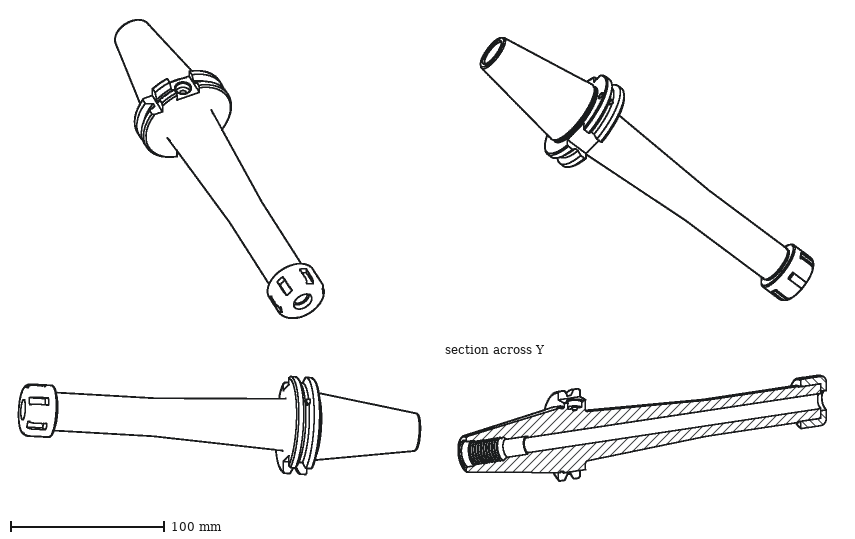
import cadquery as cq
import math


gauge_radius = 44.45 / 2
taper_length = 68.4
taper_slope = 7 / 24 / 2
taper_end_radius = gauge_radius - taper_length * taper_slope
taper_end_x = -taper_length
taper_end_chamfer_length = 1.0
taper_end_chamfer_height = 0.6

neck_start_x = 0.4
neck_radius = 21.6
neck_wall_length = 0.8

flange_start_x = 3.2
flange_width = 15.9
flange_end_x = flange_start_x + flange_width
flange_radius = 63.33 / 2
flange_taper_side_chamfer = 0.8
flange_shank_side_chamfer = 1.2
groove_x = 11.1
groove_floor_radius = 28.0
groove_floor_width = 2.4
groove_rim_chamfer = 0.5
groove_side_slope = math.tan(math.radians(30))
rim_chamfer_radius = flange_radius - groove_rim_chamfer
groove_mouth_width = groove_floor_width + 2 * (rim_chamfer_radius - groove_floor_radius) * groove_side_slope

drive_slot_width = 16.1
upper_slot_floor = 25.0
lower_slot_floor = 22.8
notch_y = 18.5
notch_z = 18.5

chip_pocket_diameter = 9.6
chip_pocket_depth = 4.5
chip_pocket_chamfer = 0.6
chip_hole_diameter = 4.0
chip_hole_depth = 1.5
chip_hole_tip_radius = 1.0

port_circle_radius = 27.0
port_angle = 20.0
port_diameter = 4.5
radial_port_diameter = 3.0

shank_fillet = 1.5
shank_cone_radius = 17.0
shank_cone_start_x = flange_end_x + shank_fillet
shank_radius = 12.5
shank_cone_end_x = 107.3
overall_end_x = 263.64 - taper_length

nut_length = 19.0
nut_radius = 17.0
nut_start_x = overall_end_x - nut_length
nut_rear_chamfer = 0.8
nut_front_fillet = 4.3
nut_opening_radius = 6.5
nut_cap_thickness = 4.0

spanner_slot_count = 6
spanner_slot_width = 5.0
spanner_slot_floor = 15.0
spanner_slot_length = 13.2
spanner_slot_ramp = 1.9
spanner_slot_tilt = -8.0

nose_radius = 12.0
nose_start_x = nut_start_x - 1.3
nose_end_x = overall_end_x - nut_cap_thickness

mouth_radius = 9.4
mouth_chamfer = 0.9
counterbore_radius = mouth_radius - mouth_chamfer
counterbore_depth = 6.0
thread_root_radius = 8.0
thread_crest_radius = 7.2
thread_pitch = 2.0
thread_turns = 11
thread_end_depth = counterbore_depth + thread_pitch * thread_turns
drill_tip_length = 2.0
step_radius = 6.0
step_depth = 45.0
bore_radius = 5.0

arc_middle_inset = 1 - math.sqrt(0.5)


def revolve_profile(profile):
    """Turn a closed (x, radius) profile about the X axis."""
    return profile.close().revolve(360, (0, 0, 0), (1, 0, 0))


def make_holder_blank():
    half_floor = groove_floor_width / 2
    half_mouth = groove_mouth_width / 2
    fillet_bend = shank_fillet * arc_middle_inset
    return revolve_profile(
        cq.Workplane("XZ")
        .moveTo(taper_end_x, 0)
        .lineTo(taper_end_x, taper_end_radius - taper_end_chamfer_height)
        .lineTo(
            taper_end_x + taper_end_chamfer_length,
            taper_end_radius + taper_end_chamfer_length * taper_slope,
        )
        .lineTo(0, gauge_radius)
        .lineTo(neck_start_x, gauge_radius)
        .lineTo(neck_start_x + neck_wall_length, neck_radius)
        .lineTo(flange_start_x - neck_wall_length, neck_radius)
        .lineTo(flange_start_x, gauge_radius)
        .lineTo(flange_start_x, flange_radius - flange_taper_side_chamfer)
        .lineTo(flange_start_x + flange_taper_side_chamfer, flange_radius)
        .lineTo(groove_x - half_mouth - groove_rim_chamfer, flange_radius)
        .lineTo(groove_x - half_mouth, rim_chamfer_radius)
        .lineTo(groove_x - half_floor, groove_floor_radius)
        .lineTo(groove_x + half_floor, groove_floor_radius)
        .lineTo(groove_x + half_mouth, rim_chamfer_radius)
        .lineTo(groove_x + half_mouth + groove_rim_chamfer, flange_radius)
        .lineTo(flange_end_x - flange_shank_side_chamfer, flange_radius)
        .lineTo(flange_end_x, flange_radius - flange_shank_side_chamfer)
        .lineTo(flange_end_x, shank_cone_radius + shank_fillet)
        .threePointArc(
            (flange_end_x + fillet_bend, shank_cone_radius + fillet_bend),
            (shank_cone_start_x, shank_cone_radius),
        )
        .lineTo(shank_cone_end_x, shank_radius)
        .lineTo(nose_start_x, shank_radius)
        .lineTo(nose_start_x, nose_radius)
        .lineTo(nose_end_x, nose_radius)
        .lineTo(nose_end_x, 0)
    )


def make_bore():
    profile = (
        cq.Workplane("XZ")
        .moveTo(taper_end_x, 0)
        .lineTo(taper_end_x, mouth_radius)
        .lineTo(taper_end_x + mouth_chamfer, counterbore_radius)
        .lineTo(taper_end_x + counterbore_depth, counterbore_radius)
        .lineTo(taper_end_x + counterbore_depth, thread_crest_radius)
    )
    for turn in range(thread_turns):
        turn_x = taper_end_x + counterbore_depth + turn * thread_pitch
        profile = profile.lineTo(turn_x + thread_pitch / 2, thread_root_radius)
        profile = profile.lineTo(turn_x + thread_pitch, thread_crest_radius)
    return revolve_profile(
        profile.lineTo(taper_end_x + thread_end_depth + drill_tip_length, step_radius)
        .lineTo(taper_end_x + step_depth, step_radius)
        .lineTo(taper_end_x + step_depth, bore_radius)
        .lineTo(nose_end_x, bore_radius)
        .lineTo(nose_end_x, 0)
    )


def make_flange_cutter(y_size, y_min, z_min):
    """Block across the whole flange width, reaching from its lower corner past the rim."""
    return cq.Workplane("XY").box(flange_width, y_size, flange_radius, centered=False).translate(
        (flange_start_x, y_min, z_min)
    )


def make_drive_slots():
    upper = make_flange_cutter(drive_slot_width, -drive_slot_width / 2, upper_slot_floor)
    lower = make_flange_cutter(drive_slot_width, -drive_slot_width / 2, lower_slot_floor)
    return upper.union(lower.rotate((0, 0, 0), (1, 0, 0), 180))


def make_notch():
    return make_flange_cutter(flange_radius, -notch_y - flange_radius, notch_z)


def make_chip_pocket():
    """Round pocket with a chamfered mouth and a tapered hole in its floor."""
    pocket_radius = chip_pocket_diameter / 2
    pocket_floor = upper_slot_floor - chip_pocket_depth
    return (
        cq.Workplane("XZ")
        .moveTo(0, upper_slot_floor)
        .lineTo(pocket_radius + chip_pocket_chamfer, upper_slot_floor)
        .lineTo(pocket_radius, upper_slot_floor - chip_pocket_chamfer)
        .lineTo(pocket_radius, pocket_floor)
        .lineTo(chip_hole_diameter / 2, pocket_floor)
        .lineTo(chip_hole_tip_radius, pocket_floor - chip_hole_depth)
        .lineTo(0, pocket_floor - chip_hole_depth)
        .close()
        .revolve(360, (0, 0, 0), (0, 1, 0))
        .translate((groove_x, 0, 0))
    )


def make_coolant_port():
    """Port on the +Y side, its axial hole open to the taper side of the flange."""
    axial = (
        cq.Workplane("YZ", origin=(flange_start_x, port_circle_radius, 0))
        .circle(port_diameter / 2)
        .extrude(groove_x - flange_start_x)
    )
    radial = (
        cq.Workplane("XZ", origin=(groove_x, port_circle_radius - port_diameter / 2, 0))
        .circle(radial_port_diameter / 2)
        .extrude(port_circle_radius - port_diameter / 2 - flange_radius)
    )
    return axial.union(radial).rotate((0, 0, 0), (1, 0, 0), port_angle)


def make_holder():
    holder = make_holder_blank().cut(make_bore())
    holder = holder.cut(make_drive_slots()).cut(make_notch()).cut(make_chip_pocket())
    for turn in (0, 180):
        holder = holder.cut(make_coolant_port().rotate((0, 0, 0), (1, 0, 0), turn))
    return holder


def make_nut_blank():
    fillet_bend = nut_front_fillet * arc_middle_inset
    return revolve_profile(
        cq.Workplane("XZ")
        .moveTo(nut_start_x, nose_radius)
        .lineTo(nut_start_x, nut_radius - nut_rear_chamfer)
        .lineTo(nut_start_x + nut_rear_chamfer, nut_radius)
        .lineTo(overall_end_x - nut_front_fillet, nut_radius)
        .threePointArc(
            (overall_end_x - fillet_bend, nut_radius - fillet_bend),
            (overall_end_x, nut_radius - nut_front_fillet),
        )
        .lineTo(overall_end_x, nut_opening_radius)
        .lineTo(nose_end_x, nut_opening_radius)
        .lineTo(nose_end_x, nose_radius)
    )


def make_spanner_slot():
    """Slot on the -Y side of the nut: a flat floor with a ramp up to the rim at its rear end."""
    slot_start_x = overall_end_x - spanner_slot_length
    return (
        cq.Workplane("XY", origin=(0, 0, -spanner_slot_width / 2))
        .moveTo(slot_start_x, -nut_radius)
        .lineTo(slot_start_x + spanner_slot_ramp, -spanner_slot_floor)
        .lineTo(overall_end_x, -spanner_slot_floor)
        .lineTo(overall_end_x, -nut_radius)
        .close()
        .extrude(spanner_slot_width)
    )


def make_nut():
    nut = make_nut_blank()
    for index in range(spanner_slot_count):
        turn = -(spanner_slot_tilt + index * 360 / spanner_slot_count)
        nut = nut.cut(make_spanner_slot().rotate((0, 0, 0), (1, 0, 0), turn))
    return nut


holder = make_holder()
nut = make_nut()

result = cq.Compound.makeCompound([holder.val(), nut.val()])